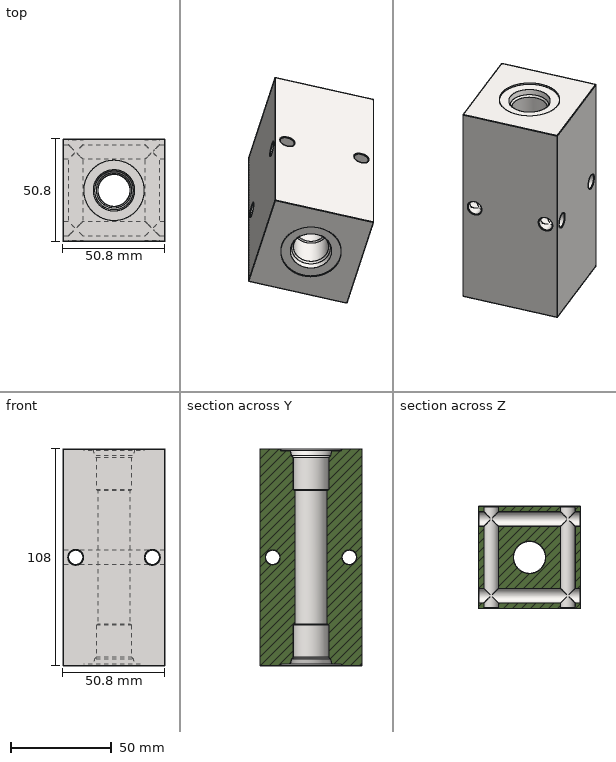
import cadquery as cq
import math

height = 108.0
width = 50.8
edge_chamfer = 0.25

spotface_diameter = 30.0
spotface_depth = 0.9
mouth_diameter = 20.6
cone_end_diameter = 19.2
cone_depth = 2.6
thread_diameter = 17.5
shoulder_depth = 3.6
thread_depth = 19.4
drill_point_angle = 118.0
bore_diameter = 15.9

hole_diameter = 7.1
hole_chamfer = 0.38
hole_spacing = 38.1


def make_block():
    block = cq.Workplane("XY").box(width, width, height)
    return block.edges().chamfer(edge_chamfer)


def make_port():
    """Revolved cutter for the port in the top face."""
    top = height / 2
    floor = top - spotface_depth
    thread_end = floor - thread_depth
    step_width = (thread_diameter - bore_diameter) / 2
    step_end = thread_end - step_width / math.tan(math.radians(drill_point_angle / 2))
    profile = (
        cq.Workplane("XZ")
        .moveTo(0, top)
        .lineTo(spotface_diameter / 2, top)
        .lineTo(spotface_diameter / 2, floor)
        .lineTo(mouth_diameter / 2, floor)
        .lineTo(cone_end_diameter / 2, floor - cone_depth)
        .lineTo(thread_diameter / 2, floor - shoulder_depth)
        .lineTo(thread_diameter / 2, thread_end)
        .lineTo(bore_diameter / 2, step_end)
        .lineTo(0, step_end)
        .close()
    )
    return profile.revolve(360, (0, 0, 0), (0, 1, 0))


def make_cross_hole():
    """Revolved cutter along X through the full width, widened at both rims."""
    radius = hole_diameter / 2
    rim_radius = radius + hole_chamfer
    end = width / 2
    profile = (
        cq.Workplane("XY")
        .moveTo(-end, 0)
        .lineTo(-end, rim_radius)
        .lineTo(-end + hole_chamfer, radius)
        .lineTo(end - hole_chamfer, radius)
        .lineTo(end, rim_radius)
        .lineTo(end, 0)
        .close()
    )
    return profile.revolve(360, (0, 0, 0), (1, 0, 0))


top_port = make_port()
bottom_port = top_port.mirror("XY")
bore = cq.Workplane("XY").circle(bore_diameter / 2).extrude(height / 2, both=True)
result = make_block().cut(top_port).cut(bottom_port).cut(bore)

for side in (-1, 1):
    hole_along_x = make_cross_hole().translate((0, side * hole_spacing / 2, 0))
    hole_along_y = hole_along_x.rotate((0, 0, 0), (0, 0, 1), 90)
    result = result.cut(hole_along_x).cut(hole_along_y)